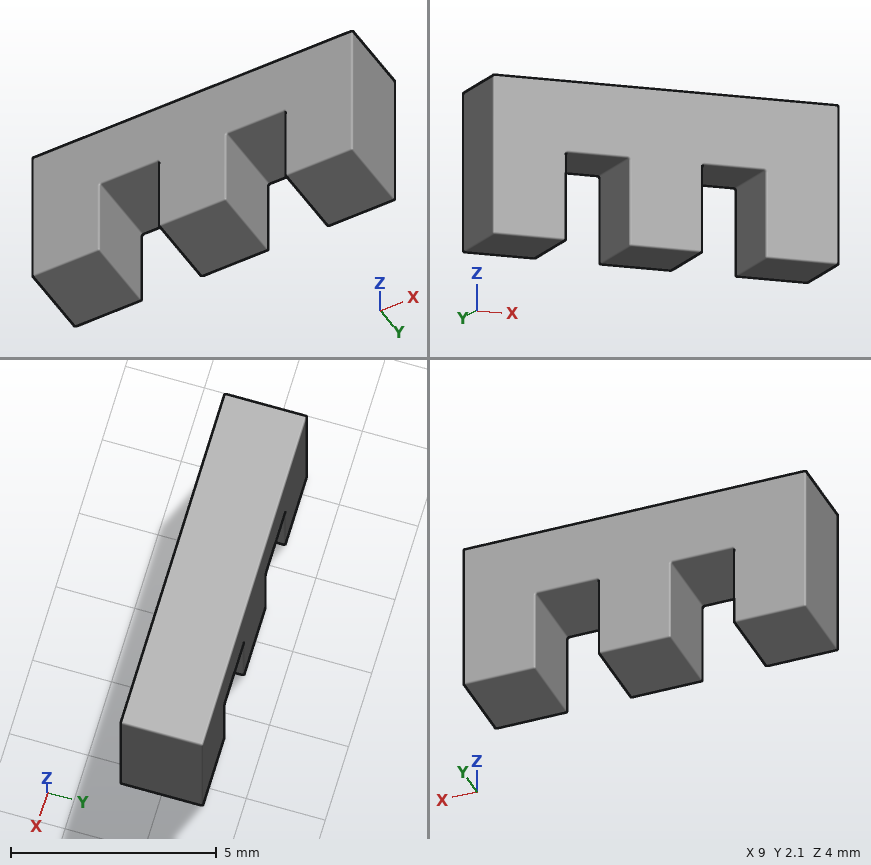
import cadquery as cq

length = 9.0
depth = 2.1
height = 4.0

slot_width = 1.65
slot_height = 2.2
leg_width = (length - 2 * slot_width) / 3
slot_spacing = leg_width + slot_width

edge_radius = 0.05


def make_slot(center_x):
    """Slot through the full depth, rising from the bottom face."""
    return (
        cq.Workplane("XY")
        .box(slot_width, depth, slot_height, centered=(True, True, False))
        .translate((center_x, 0, 0))
    )


core = cq.Workplane("XY").box(length, depth, height, centered=(True, True, False))
for side in (-1, 1):
    core = core.cut(make_slot(side * slot_spacing / 2))

result = core.edges().fillet(edge_radius)